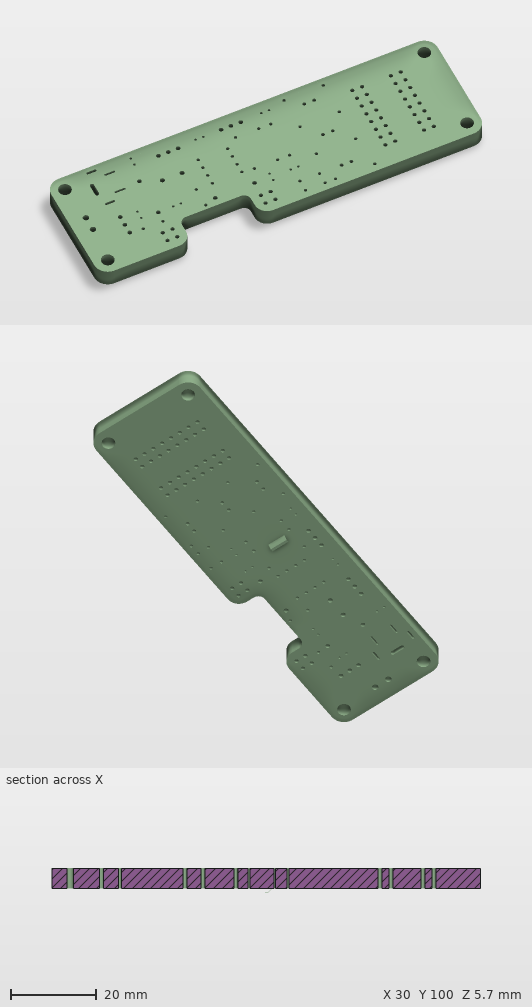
import cadquery as cq

length = 100.0
width = 30.0
thickness = 4.8
corner_radius = 3.5

notch_floor_x = 8.0
notch_top_y = -8.6
notch_bottom_y = -26.4
notch_inner_radius = 1.8
notch_outer_radius = 3.2

mount_diameter = 3.2
cable_diameter = 1.5
terminal_diameter = 1.2
power_pin_diameter = 1.1
header_diameter = 1.0
led_diameter = 0.9
lead_diameter = 0.8
small_diameter = 0.6

inch = 25.4
pitch = inch / 10
double_pitch = 2 * pitch
row_spacing = 3 * pitch
lead_span = 4 * pitch
small_pitch = 2.0
cable_pitch = 3.8

cable_center = (0.0, -45.7)
header_columns = 8
header_center_x = 0.15
header_center_ys = (37.8, 27.8)
square_header_center_x = 11.1
square_header_center_ys = (-4.8, -30.2)
terminal_center = (-4.1, -22.3)
upright_three_pin_centers = ((-11.6, -3.5), (-11.0, -20.0))
flat_three_pin_center = (3.9, -38.4)
upright_diode_center = (5.9, -10.9)
flat_diode_center = (-1.1, -29.8)
led_center_xs = (-10.0, 0.0, 10.0)
led_center_y = 16.0
upright_resistor_centers = ((-13.0, 16.0), (-4.4, 16.0), (4.4, 16.0), (13.0, 16.8))
flat_resistor_center_x = -3.0
flat_resistor_ys = (5.1, 2.0, -4.0)
upright_capacitor_centers = ((10.0, 6.5), (13.0, 6.5), (6.8, -32.5))
flat_capacitor_center = (4.3, -18.9)
package_center = (-2.1, -10.9)
package_columns = 4
upright_small_centers = ((-11.9, 5.5), (6.0, 4.5), (-11.5, -11.7), (3.9, -24.9))
flat_small_centers = ((6.0, -1.5), (-12.1, -28.7), (2.7, -34.1))

jack_center_x = -8.5
inner_slot_length = 2.8
inner_slot_width = 0.5
inner_slot_spacing = 5.6
inner_slot_y = -35.0
outer_slot_length = 2.5
outer_slot_width = 0.6
outer_slot_spacing = 10.0
outer_slot_y = -38.7
cross_slot_length = 3.7
cross_slot_width = 1.0
cross_slot_y = -40.3

tab_center_x = -4.0
tab_width = 4.6
tab_drop = 0.9
tab_thickness = 0.1
tab_root_y = 1.4
tab_bend_y = 0.5
tab_tip_y = -0.2


def notch_corners(x):
    """Selects the two vertical notch edges at this X."""
    reach = 0.1
    return cq.selectors.BoxSelector(
        (x - reach, notch_bottom_y - reach, -reach),
        (x + reach, notch_top_y + reach, thickness + reach),
    )


def make_plate():
    plate = cq.Workplane("XY").box(width, length, thickness, centered=(True, True, False))
    plate = plate.edges("|Z").fillet(corner_radius)
    notch_depth = width / 2 - notch_floor_x
    notch_height = notch_top_y - notch_bottom_y
    notch = (
        cq.Workplane("XY")
        .box(notch_depth, notch_height, thickness, centered=False)
        .translate((notch_floor_x, notch_bottom_y, 0))
    )
    plate = plate.cut(notch)
    plate = plate.edges("|Z").edges(notch_corners(notch_floor_x)).fillet(notch_inner_radius)
    return plate.edges("|Z").edges(notch_corners(width / 2)).fillet(notch_outer_radius)


def grid(center_x, center_y, columns=1, rows=1, step_x=pitch, step_y=pitch):
    """Points of a rectangular grid around its centre."""
    return [
        (center_x + (i - (columns - 1) / 2) * step_x, center_y + (j - (rows - 1) / 2) * step_y)
        for i in range(columns)
        for j in range(rows)
    ]


def pair_x(center_x, center_y, span):
    return grid(center_x, center_y, columns=2, step_x=span)


def pair_y(center_x, center_y, span):
    return grid(center_x, center_y, rows=2, step_y=span)


def drill(plate, diameter, points):
    holes = cq.Workplane("XY").pushPoints(points).circle(diameter / 2).extrude(thickness)
    return plate.cut(holes)


def cut_slots(plate, slot_length, slot_width, angle, points):
    slots = cq.Workplane("XY").pushPoints(points).slot2D(slot_length, slot_width, angle).extrude(thickness)
    return plate.cut(slots)


def make_mount_points():
    """Centres of the mounting holes, concentric with the plate corners."""
    spacing_x = width - 2 * corner_radius
    spacing_y = length - 2 * corner_radius
    return grid(0, 0, columns=2, rows=2, step_x=spacing_x, step_y=spacing_y)


def make_header_points():
    """Two-row pin headers and square headers of two by two pins."""
    points = []
    for y in header_center_ys:
        points += grid(header_center_x, y, columns=header_columns, rows=2)
    for y in square_header_center_ys:
        points += grid(square_header_center_x, y, columns=2, rows=2)
    return points


def make_power_points():
    """Rows of three pins and thick-lead pairs."""
    points = grid(*flat_three_pin_center, columns=3)
    for center in upright_three_pin_centers:
        points += grid(*center, rows=3)
    points += pair_y(*upright_diode_center, lead_span)
    points += pair_x(*flat_diode_center, lead_span)
    return points


def make_led_points():
    points = []
    for x in led_center_xs:
        points += pair_y(x, led_center_y, pitch)
    return points


def make_lead_points():
    """Wide and narrow lead pairs and the eight-pin package."""
    points = grid(*package_center, columns=package_columns, rows=2, step_y=row_spacing)
    for center in upright_resistor_centers:
        points += pair_y(*center, lead_span)
    for y in flat_resistor_ys:
        points += pair_x(flat_resistor_center_x, y, lead_span)
    for center in upright_capacitor_centers:
        points += pair_y(*center, double_pitch)
    points += pair_x(*flat_capacitor_center, double_pitch)
    return points


def make_small_points():
    points = []
    for center in upright_small_centers:
        points += pair_y(*center, small_pitch)
    for center in flat_small_centers:
        points += pair_x(*center, small_pitch)
    return points


def cut_jack_slots(plate):
    inner_points = pair_x(jack_center_x, inner_slot_y, inner_slot_spacing)
    outer_points = pair_x(jack_center_x, outer_slot_y, outer_slot_spacing)
    plate = cut_slots(plate, inner_slot_length, inner_slot_width, 90, inner_points)
    plate = cut_slots(plate, outer_slot_length, outer_slot_width, 90, outer_points)
    return cut_slots(plate, cross_slot_length, cross_slot_width, 0, [(jack_center_x, cross_slot_y)])


def make_tab():
    profile = [
        (tab_root_y, 0),
        (tab_bend_y, -tab_drop),
        (tab_tip_y, -tab_drop),
        (tab_tip_y, tab_thickness - tab_drop),
        (tab_bend_y, tab_thickness - tab_drop),
        (tab_root_y - tab_thickness, 0),
    ]
    return (
        cq.Workplane("YZ")
        .workplane(offset=tab_center_x - tab_width / 2)
        .polyline(profile)
        .close()
        .extrude(tab_width)
    )


plate = make_plate()
plate = drill(plate, mount_diameter, make_mount_points())
plate = drill(plate, cable_diameter, pair_x(*cable_center, cable_pitch))
plate = drill(plate, terminal_diameter, pair_y(*terminal_center, double_pitch))
plate = drill(plate, power_pin_diameter, make_power_points())
plate = drill(plate, header_diameter, make_header_points())
plate = drill(plate, led_diameter, make_led_points())
plate = drill(plate, lead_diameter, make_lead_points())
plate = drill(plate, small_diameter, make_small_points())
plate = cut_jack_slots(plate)

result = plate.union(make_tab())